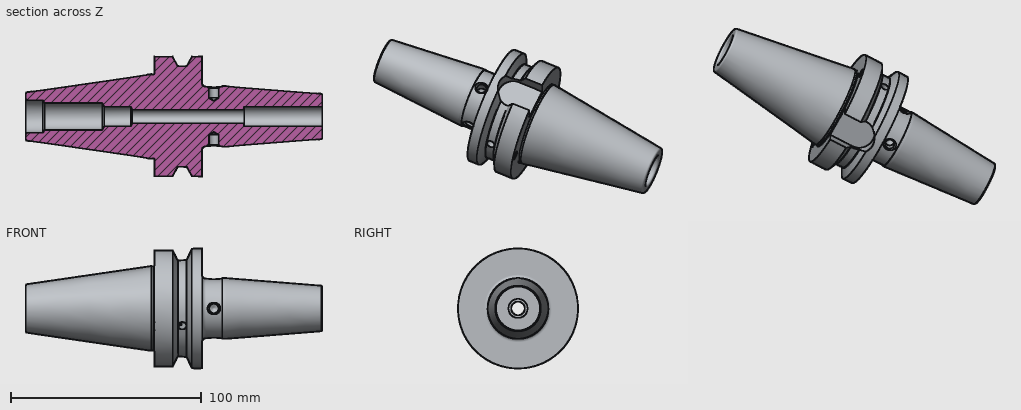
import cadquery as cq
import math


gauge_diameter = 44.45
taper_ratio = 7 / 24
shank_length = 65.4
shank_end_fillet = 1.0
taper_end_x = 0.4
relief_diameter = 44.25
relief_step_x = 0.9
relief_fillet = 0.5

flange_diameter = 63.0
flange_start_x = 2.0
flange_end_x = 27.0
groove_center_x = 16.6
groove_floor_diameter = 53.0
groove_floor_width = 4.7
groove_wall_angle = 28.0
groove_floor_fillet = 0.3

neck_diameter = 31.4
neck_fillet = 2.0
nose_diameter = 32.0
nose_band_start_x = 37.5
nose_cone_start_x = 39.2
nose_end_x = 90.0
nose_cone_angle = 4.5
nose_end_chamfer = 0.5

slot_width = 16.1
slot_floor_z = 22.6
slot_end_x = 23.0

mouth_fillet = 1.0
rear_bore_diameter = 17.0
rear_bore_depth = 9.0
thread_bore_diameter = 14.0
thread_bore_depth = 40.0
step_bore_diameter = 10.0
step_bore_depth = 55.0
through_diameter = 7.0
bore_cone_half_angle = 60.0
tool_bore_diameter = 10.0
tool_bore_depth = 41.0

coolant_diameter = 4.2
coolant_angle = 20.0
coolant_entry_radius = 27.4
coolant_slant = 30.0
coolant_overrun = 3.0

screw_hole_x = 33.2
screw_hole_diameter = 4.92
screw_hole_mouth_diameter = 6.8
screw_hole_depth = 6.0
screw_hole_count = 4

drill_half_angle = 59.0


def cone_length(large_diameter, small_diameter, half_angle):
    """Axial length of a cone between two diameters."""
    return (large_diameter - small_diameter) / 2 / math.tan(math.radians(half_angle))


def revolve_about_x(points):
    """Solid of revolution about the X axis from (x, radius) points."""
    return cq.Workplane("XZ").polyline(points).close().revolve(360, (0, 0, 0), (1, 0, 0))


def drilled_hole(start, direction, diameter, depth):
    """Round blind hole with a conical drill point, as a cutting solid."""
    radius = diameter / 2
    hole = cq.Solid.makeCylinder(radius, depth, start, direction)
    point_length = cone_length(diameter, 0, drill_half_angle)
    point = cq.Solid.makeCone(radius, 0, point_length, start + direction * depth, direction)
    return hole.fuse(point)


def outer_body():
    shank_start_x = -shank_length
    shank_end_radius = (gauge_diameter - shank_length * taper_ratio) / 2
    taper_end_radius = (gauge_diameter + taper_end_x * taper_ratio) / 2
    relief_radius = relief_diameter / 2
    flange_radius = flange_diameter / 2
    floor_radius = groove_floor_diameter / 2
    neck_radius = neck_diameter / 2
    nose_radius = nose_diameter / 2

    half_floor = groove_floor_width / 2
    wall_run = (flange_radius - floor_radius) * math.tan(math.radians(groove_wall_angle))
    half_opening = half_floor + wall_run
    nose_length = nose_end_x - nose_cone_start_x
    nose_end_radius = nose_radius - nose_length * math.tan(math.radians(nose_cone_angle))

    profile = (
        cq.Workplane("XZ")
        .moveTo(shank_start_x, 0)
        .lineTo(shank_start_x, shank_end_radius)
        .lineTo(taper_end_x, taper_end_radius)
        .lineTo(relief_step_x, relief_radius)
        .lineTo(flange_start_x - relief_fillet, relief_radius)
        .radiusArc((flange_start_x, relief_radius + relief_fillet), -relief_fillet)
        .lineTo(flange_start_x, flange_radius)
        .lineTo(groove_center_x - half_opening, flange_radius)
        .lineTo(groove_center_x - half_floor, floor_radius)
        .lineTo(groove_center_x + half_floor, floor_radius)
        .lineTo(groove_center_x + half_opening, flange_radius)
        .lineTo(flange_end_x, flange_radius)
        .lineTo(flange_end_x, neck_radius + neck_fillet)
        .radiusArc((flange_end_x + neck_fillet, neck_radius), -neck_fillet)
        .lineTo(nose_band_start_x, neck_radius)
        .lineTo(nose_band_start_x, nose_radius)
        .lineTo(nose_cone_start_x, nose_radius)
        .lineTo(nose_end_x - nose_end_chamfer, nose_end_radius)
        .lineTo(nose_end_x, nose_end_radius - nose_end_chamfer)
        .lineTo(nose_end_x, 0)
        .close()
    )
    body = profile.revolve(360, (0, 0, 0), (1, 0, 0))
    body = body.faces("<X").edges().fillet(shank_end_fillet)
    groove_floor = cq.selectors.BoxSelector(
        (groove_center_x - groove_floor_width, -flange_radius, -flange_radius),
        (groove_center_x + groove_floor_width, flange_radius, flange_radius),
    )
    floor_edges = body.edges("%CIRCLE").edges(groove_floor).edges(cq.selectors.RadiusNthSelector(0))
    return floor_edges.fillet(groove_floor_fillet)


def central_bore():
    mouth_x = -shank_length
    tool_bore_start_x = nose_end_x - tool_bore_depth
    steps = [
        (mouth_x + rear_bore_depth, rear_bore_diameter, thread_bore_diameter),
        (mouth_x + thread_bore_depth, thread_bore_diameter, step_bore_diameter),
        (mouth_x + step_bore_depth, step_bore_diameter, through_diameter),
    ]
    points = [(mouth_x, 0), (mouth_x, rear_bore_diameter / 2)]
    for cone_x, large, small in steps:
        points.append((cone_x, large / 2))
        points.append((cone_x + cone_length(large, small, bore_cone_half_angle), small / 2))
    points += [
        (tool_bore_start_x, through_diameter / 2),
        (tool_bore_start_x, tool_bore_diameter / 2),
        (nose_end_x, tool_bore_diameter / 2),
        (nose_end_x, 0),
    ]
    return revolve_about_x(points)


def drive_slot(side):
    """Round-ended slot on the +Z (side = 1) or -Z (side = -1) edge of the flange."""
    radius = slot_width / 2
    arc_center_x = slot_end_x - radius
    outline = (
        cq.Workplane("XY", origin=(0, 0, side * slot_floor_z))
        .moveTo(flange_start_x, -radius)
        .lineTo(arc_center_x, -radius)
        .threePointArc((slot_end_x, 0), (arc_center_x, radius))
        .lineTo(flange_start_x, radius)
        .close()
    )
    return outline.extrude(side * flange_diameter / 2)


def coolant_holes(side):
    """Slanted and radial holes that meet, on the +Y (side = 1) or -Y (side = -1) half of the flange."""
    angle = math.radians(coolant_angle)
    slant = math.radians(coolant_slant)
    outward = cq.Vector(0, side * math.cos(angle), side * math.sin(angle))
    along_axis = cq.Vector(1, 0, 0)

    run_x = groove_center_x - flange_start_x
    slant_direction = along_axis * math.cos(slant) - outward * math.sin(slant)
    lead_in = coolant_diameter
    entry_point = along_axis * flange_start_x + outward * coolant_entry_radius
    slanted_length = lead_in + run_x / math.cos(slant)
    slanted_start = entry_point - slant_direction * lead_in
    slanted = cq.Solid.makeCylinder(coolant_diameter / 2, slanted_length, slanted_start, slant_direction)

    meeting_radius = coolant_entry_radius - run_x * math.tan(slant)
    rim_point = along_axis * groove_center_x + outward * (flange_diameter / 2)
    radial_length = flange_diameter / 2 - meeting_radius + coolant_overrun
    radial = drilled_hole(rim_point, outward * -1, coolant_diameter, radial_length)
    return [slanted, radial]


def screw_hole(index):
    """Countersunk radial hole in the neck with a conical bottom."""
    angle = 2 * math.pi * index / screw_hole_count
    outward = cq.Vector(0, math.cos(angle), math.sin(angle))
    surface_point = outward * (neck_diameter / 2) + cq.Vector(screw_hole_x, 0, 0)
    hole = drilled_hole(surface_point, outward * -1, screw_hole_diameter, screw_hole_depth)
    sink_radius = screw_hole_mouth_diameter / 2
    sink = cq.Solid.makeCone(sink_radius, 0, sink_radius, surface_point, outward * -1)
    return hole.fuse(sink)


result = outer_body().cut(central_bore())
result = result.faces("<X").edges(cq.selectors.RadiusNthSelector(0)).fillet(mouth_fillet)
for side in (1, -1):
    result = result.cut(drive_slot(side))
    for hole in coolant_holes(side):
        result = result.cut(cq.Workplane(hole))
for index in range(screw_hole_count):
    result = result.cut(cq.Workplane(screw_hole(index)))